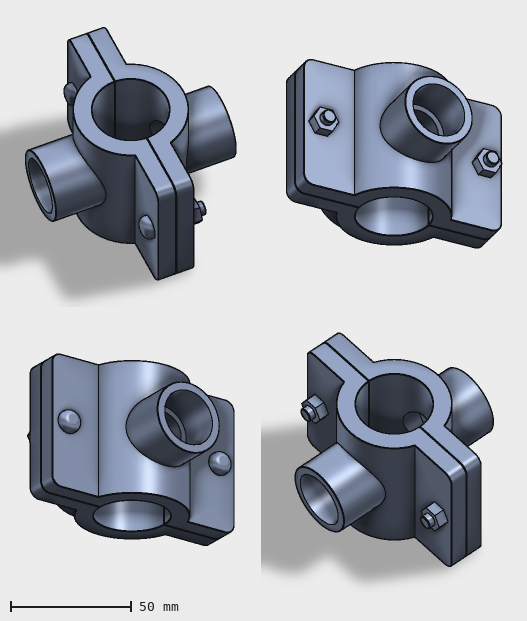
import cadquery as cq
import math

clamp_width = 92.0
clamp_height = 60.0
flange_thickness = 8.2
flange_corner_radius = 4.5
barrel_diameter = 48.0
bore_diameter = 32.0
edge_chamfer = 0.3

branch_span = 82.0
branch_diameter = 31.4
socket_diameter = 24.1
port_diameter = 19.0
socket_floor = 22.0

bolt_offset = 38.0
shank_diameter = 6.0
shank_tip_y = 16.0
shank_tip_chamfer = 0.4
head_diameter = 10.0
head_height = 4.0
head_rounding = 2.9
nut_across_flats = 10.0
nut_height = 4.8

branch_end = branch_span / 2
nut_across_corners = nut_across_flats / math.cos(math.radians(30))
bolt_positions = (-bolt_offset, bolt_offset)


def cylinder_along_y(diameter, y_start, y_end, x=0):
    """Solid cylinder parallel to Y between two Y positions."""
    start_plane = cq.Workplane("XZ", origin=(x, y_start, 0))
    return start_plane.circle(diameter / 2).extrude(y_start - y_end)


def cylinder_along_z(diameter):
    """Solid cylinder along Z with the height of the clamp, centred on the origin."""
    return cq.Workplane("XY").circle(diameter / 2).extrude(clamp_height / 2, both=True)


def is_inner_corner(edge):
    """True for the vertical edges where a flange runs into the barrel."""
    centre = edge.Center()
    on_flange_face = abs(abs(centre.y) - flange_thickness) < edge_chamfer
    return on_flange_face and abs(centre.x) < barrel_diameter / 2


def make_clamp_half(side):
    """One half of the clamp; side is -1 for the -Y half and +1 for the +Y half."""
    flange = (
        cq.Workplane("XY")
        .box(clamp_width, flange_thickness, clamp_height)
        .edges("|Y").fillet(flange_corner_radius)
        .translate((0, side * flange_thickness / 2, 0))
    )
    half_space = (
        cq.Workplane("XY")
        .box(clamp_width, barrel_diameter, clamp_height)
        .translate((0, side * barrel_diameter / 2, 0))
    )
    half_barrel = cylinder_along_z(barrel_diameter).intersect(half_space)
    half = flange.union(half_barrel).cut(cylinder_along_z(bore_diameter))
    edges = half.faces("|Z or |Y").edges()
    return edges.filter(lambda edge: not is_inner_corner(edge)).chamfer(edge_chamfer)


def make_branch(side):
    """Tube stub on the -Y or +Y side, kept clear of the bore."""
    branch = cylinder_along_y(branch_diameter, 0, side * branch_end)
    end_face = "<Y" if side < 0 else ">Y"
    branch = branch.faces(end_face).edges().chamfer(edge_chamfer)
    return branch.cut(cylinder_along_z(bore_diameter))


def make_clamp():
    """Both halves joined at the grooved parting plane, with a socketed branch on each side."""
    clamp = make_clamp_half(-1).union(make_clamp_half(1))
    for side in (-1, 1):
        clamp = clamp.union(make_branch(side))
        clamp = clamp.cut(cylinder_along_y(socket_diameter, side * branch_end, side * socket_floor))
    clamp = clamp.cut(cylinder_along_y(port_diameter, -branch_end, branch_end))
    for x in bolt_positions:
        clamp = clamp.cut(cylinder_along_y(shank_diameter, -branch_end, branch_end, x))
    return clamp


def make_fastener(x):
    """Button-head bolt through both flanges with its hex nut."""
    head = cylinder_along_y(head_diameter, -flange_thickness - head_height, -flange_thickness, x)
    head = head.faces("<Y").edges().fillet(head_rounding)
    shank = cylinder_along_y(shank_diameter, -flange_thickness, shank_tip_y, x)
    shank = shank.faces(">Y").edges().chamfer(shank_tip_chamfer)
    nut = (
        cq.Workplane("XZ", origin=(x, flange_thickness, 0))
        .polygon(6, nut_across_corners)
        .extrude(-nut_height)
    )
    return head.union(shank).union(nut)


clamp = make_clamp()
fasteners = [make_fastener(x) for x in bolt_positions]

result = cq.Compound.makeCompound([clamp.val(), *(fastener.val() for fastener in fasteners)])